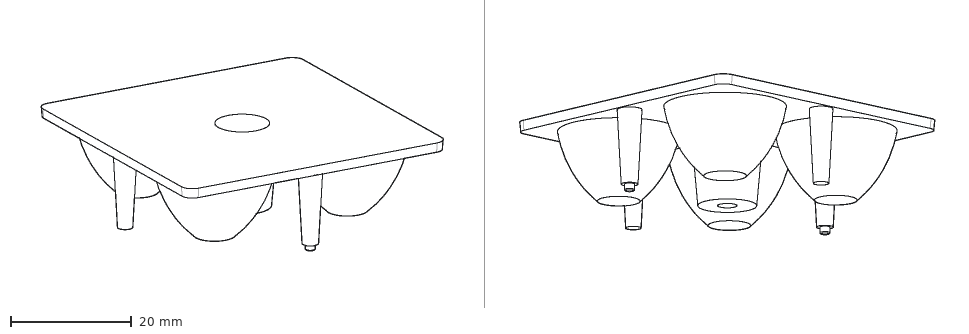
import cadquery as cq
import math

plate_side = 49.8
plate_thickness = 1.7
plate_corner_radius = 2.1
plate_draft = 5.0

post_depth = 14.35
cup_depth = 13.5
pin_depth = 15.5

cup_offset = 12.7
cup_rim_radius = 10.15
cup_tip_radius = 3.55
cup_wall_arc_radius = 19.9

post_offset = 22.4
post_draft = 3.0
pinned_post_tip_radius = 1.4
plain_post_tip_radius = 1.3

pin_radius = 0.85
pin_chamfer = 0.2

boss_draft = 5.0
boss_tip_radius = 4.9
recess_top_radius = 4.55
recess_floor_radius = 3.35
boss_floor_thickness = plate_thickness
screw_hole_radius = 1.6


def drafted_peg(x, y, tip_radius, draft):
    """Solid cone frustum from the top face of the plate down to the post depth."""
    top_radius = tip_radius + post_depth * math.tan(math.radians(draft))
    return cq.Workplane(
        cq.Solid.makeCone(top_radius, tip_radius, post_depth, cq.Vector(x, y, 0), cq.Vector(0, 0, -1))
    )


def make_plate():
    return (
        cq.Workplane("XY")
        .sketch()
        .rect(plate_side, plate_side)
        .vertices()
        .fillet(plate_corner_radius)
        .finalize()
        .extrude(-plate_thickness, taper=plate_draft)
    )


def make_cup(x, y):
    """Solid bowl with a bulging arc wall and a flat tip."""
    profile = (
        cq.Workplane("XZ")
        .lineTo(cup_rim_radius, 0)
        .lineTo(cup_rim_radius, -plate_thickness)
        .radiusArc((cup_tip_radius, -cup_depth), cup_wall_arc_radius)
        .lineTo(0, -cup_depth)
        .close()
    )
    return profile.revolve(360, (0, 0, 0), (0, 1, 0)).translate((x, y, 0))


def make_pin(x):
    """Locating pin with a chamfered end below a post tip."""
    return (
        cq.Workplane("XY", origin=(x, 0, -pin_depth))
        .circle(pin_radius)
        .extrude(pin_depth - plate_thickness)
        .faces("<Z")
        .chamfer(pin_chamfer)
    )


def make_boss_bore():
    """Tapered recess from the top face, then a straight screw hole through its floor."""
    recess_depth = post_depth - boss_floor_thickness
    recess = cq.Workplane(
        cq.Solid.makeCone(
            recess_top_radius, recess_floor_radius, recess_depth, cq.Vector(0, 0, 0), cq.Vector(0, 0, -1)
        )
    )
    screw_hole = cq.Workplane("XY").circle(screw_hole_radius).extrude(-post_depth)
    return recess.union(screw_hole)


result = make_plate()

for x in (-cup_offset, cup_offset):
    for y in (-cup_offset, cup_offset):
        result = result.union(make_cup(x, y))

for offset in (-post_offset, post_offset):
    result = result.union(drafted_peg(offset, 0, pinned_post_tip_radius, post_draft))
    result = result.union(make_pin(offset))
    result = result.union(drafted_peg(0, offset, plain_post_tip_radius, post_draft))

result = result.union(drafted_peg(0, 0, boss_tip_radius, boss_draft))
result = result.cut(make_boss_bore())